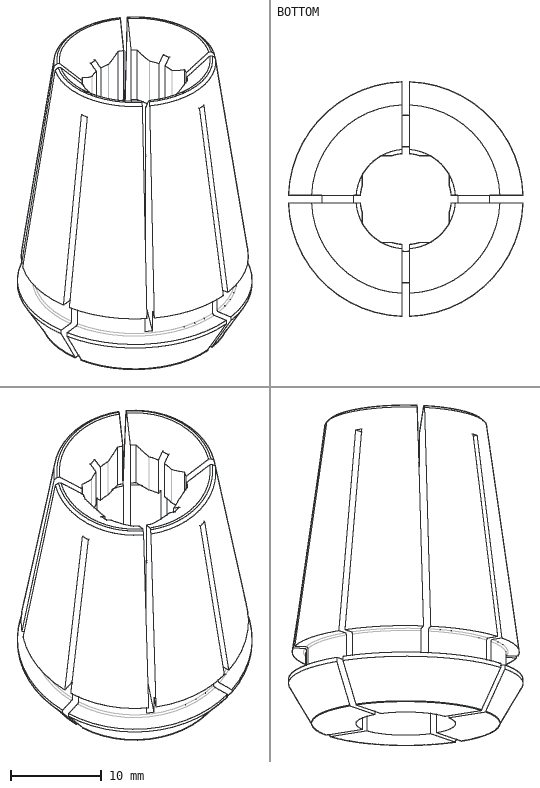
import cadquery as cq
import math

length = 34.0

flange_diameter = 25.85
nose_lip_height = 0.1
flange_rim_bottom = 4.52
flange_top = 5.0
nose_angle = 30.0

groove_radius = 11.05
groove_top = 8.1
groove_fillet = 0.2

taper_large_radius = 12.5
taper_angle = 8.0
top_chamfer_height = 0.3
top_chamfer_width = 0.35

shank_bore_radius = 5.47
drive_bottom = 24.95
drive_square = 9.52
drive_corner_radius = 5.78
drive_relief_radius = 5.0
countersink_radius = 8.3
countersink_angle = 45.0

slot_width = 0.8
bottom_slot_end = 31.45
top_slot_end = 5.45

flange_radius = flange_diameter / 2
nose_rise = flange_rim_bottom - nose_lip_height
nose_radius = flange_radius - nose_rise * math.tan(math.radians(nose_angle))
chamfer_bottom = length - top_chamfer_height
taper_rise = chamfer_bottom - groove_top
taper_small_radius = taper_large_radius - taper_rise * math.tan(math.radians(taper_angle))


def make_body():
    """Revolve the solid outer shape, then round the two inner corners of the groove."""
    profile = (
        cq.Workplane("XZ")
        .polyline(
            [
                (0, 0),
                (nose_radius, 0),
                (nose_radius, nose_lip_height),
                (flange_radius, flange_rim_bottom),
                (flange_radius, flange_top),
                (groove_radius, flange_top),
                (groove_radius, groove_top),
                (taper_large_radius, groove_top),
                (taper_small_radius, chamfer_bottom),
                (taper_small_radius - top_chamfer_width, length),
                (0, length),
            ]
        )
        .close()
    )
    body = profile.revolve(360, (0, 0, 0), (0, 1, 0))
    groove_zone = cq.selectors.BoxSelector(
        (-flange_radius, -flange_radius, flange_top - groove_fillet),
        (flange_radius, flange_radius, groove_top + groove_fillet),
        boundingbox=True,
    )
    groove_edges = body.edges("%CIRCLE").edges(groove_zone)
    groove_corners = groove_edges.edges(cq.selectors.RadiusNthSelector(0))
    return groove_corners.fillet(groove_fillet)


def make_shank_bore():
    """Plain round bore from the bottom up to the square drive hole."""
    return cq.Workplane("XY").circle(shank_bore_radius).extrude(drive_bottom)


def make_drive_hole():
    """Square hole with round-trimmed corners, eased by a circle at the middle of each side."""
    depth = length - drive_bottom
    base = cq.Workplane("XY", origin=(0, 0, drive_bottom))
    square = base.rect(drive_square, drive_square).extrude(depth)
    corner_limit = base.circle(drive_corner_radius).extrude(depth)
    relief = base.circle(drive_relief_radius).extrude(depth)
    return square.intersect(corner_limit).union(relief)


def make_countersink():
    """Conical mouth at the top, drawn down to its apex inside the drive hole."""
    depth = countersink_radius / math.tan(math.radians(countersink_angle))
    return (
        cq.Workplane("XZ")
        .polyline([(0, length), (countersink_radius, length), (0, length - depth)])
        .close()
        .revolve(360, (0, 0, 0), (0, 1, 0))
    )


def make_crossed_slots(bottom, top, angle):
    """Two slots at right angles across the whole part, between two heights."""
    base = cq.Workplane("XY", origin=(0, 0, bottom))
    slot_length = 2 * flange_diameter
    first = base.rect(slot_length, slot_width).extrude(top - bottom)
    second = base.rect(slot_width, slot_length).extrude(top - bottom)
    return first.union(second).rotate((0, 0, 0), (0, 0, 1), angle)


result = (
    make_body()
    .cut(make_shank_bore())
    .cut(make_drive_hole())
    .cut(make_countersink())
    .cut(make_crossed_slots(0, bottom_slot_end, 0))
    .cut(make_crossed_slots(top_slot_end, length, 45))
)